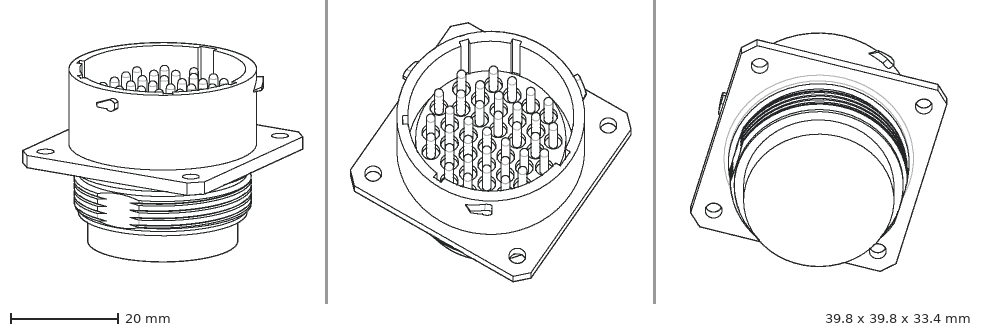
import cadquery as cq
import math

FLANGE_SIDE = 39.75
FLANGE_THICKNESS = 2.4
FLANGE_CORNER = 2.4
MOUNT_HOLE_DIAMETER = 3.1
MOUNT_HOLE_PITCH = 31.75

SHELL_RADIUS = 17.5
SHELL_HEIGHT = 14.5
CAVITY_RADIUS = 15.45
CAVITY_DEPTH = 14.5

KEYWAY_RADIUS = 16.4
MASTER_KEYWAY_WIDTH = 3.4
MINOR_KEYWAY_WIDTH = 1.75
KEYWAYS = [
    (90, MASTER_KEYWAY_WIDTH),
    (-5, MINOR_KEYWAY_WIDTH),
    (195, MINOR_KEYWAY_WIDTH),
    (230, MINOR_KEYWAY_WIDTH),
    (305, MINOR_KEYWAY_WIDTH),
]

TOTAL_LENGTH = 33.38
COLLAR_RADIUS = 16.85
COLLAR_FILLET = 0.8
NECK_RADIUS = 15.75
COLLAR_END = -4.35
THREAD_START = -5.65
THREAD_END = -12.45
NECK_END = -13.27
REAR_END = SHELL_HEIGHT - TOTAL_LENGTH

INCH = 25.4
THREADS_PER_INCH = 18
THREAD_RADIUS = 16.5
THREAD_PITCH = INCH / THREADS_PER_INCH
THREAD_DEPTH = 0.42
THREAD_HALF_ANGLE = 30
THREAD_PHASE_Z = -7.18
THREAD_FLAT_Y = 15.87

INSERT_RADIUS = 14.0
INSERT_FACE = 4.75
WELL_RADIUS = 1.65
WELL_DEPTH = 1.5
PIN_RADIUS = 0.82
PIN_TIP = 11.75
PIN_EMBEDMENT = 1.5

PIN_ROW_PITCH = 4.1
PIN_COLUMNS = [
    (-9.68, -5.5, 3),
    (-5.8, -10.1, 5),
    (-2.3, -8.0, 5),
    (1.6, -8.0, 5),
    (4.9, -10.1, 5),
    (8.2, -8.0, 5),
    (11.53, -1.9, 2),
]
EXTRA_PINS = [(-9.68, 6.6), (-5.8, 10.1), (4.9, 10.1), (-0.3, 11.6), (-0.3, -11.6)]

LUG_DIRECTIONS = (30, 150, 270)
LUG_Z = SHELL_HEIGHT - 2.46
LUG_OUTER_RADIUS = 18.76
LUG_HEAD_RADIUS = 1.08
LUG_HEAD_FLAT = 0.92
LUG_TAIL_LENGTH = 4.0
LUG_TAIL_TIP_LENGTH = 3.04
LUG_TAIL_TOP = -0.42
LUG_TAIL_BOTTOM = -0.72


def make_body():
    """Shell, collar, neck and rear cylinder revolved as one solid, plus the flange."""
    body = (
        cq.Workplane("XZ")
        .moveTo(0, SHELL_HEIGHT)
        .lineTo(SHELL_RADIUS, SHELL_HEIGHT)
        .lineTo(SHELL_RADIUS, -FLANGE_THICKNESS)
        .lineTo(COLLAR_RADIUS + COLLAR_FILLET, -FLANGE_THICKNESS)
        .radiusArc((COLLAR_RADIUS, -FLANGE_THICKNESS - COLLAR_FILLET), -COLLAR_FILLET)
        .lineTo(COLLAR_RADIUS, COLLAR_END)
        .lineTo(NECK_RADIUS, COLLAR_END)
        .lineTo(NECK_RADIUS, NECK_END)
        .lineTo(INSERT_RADIUS, NECK_END)
        .lineTo(INSERT_RADIUS, REAR_END)
        .lineTo(0, REAR_END)
        .close()
        .revolve(360, (0, 0, 0), (0, 1, 0))
    )
    flange = (
        cq.Workplane("XY")
        .rect(FLANGE_SIDE, FLANGE_SIDE)
        .extrude(-FLANGE_THICKNESS)
        .edges("|Z")
        .chamfer(FLANGE_CORNER)
        .faces(">Z")
        .workplane()
        .rect(MOUNT_HOLE_PITCH, MOUNT_HOLE_PITCH, forConstruction=True)
        .vertices()
        .hole(MOUNT_HOLE_DIAMETER)
    )
    return body.union(flange)


def make_thread_band():
    """Rear thread: a right-hand V groove, beveled ends and two flats across Y."""
    overlap = 0.2
    root = THREAD_RADIUS - THREAD_DEPTH
    mouth = THREAD_RADIUS + overlap
    half_width = (THREAD_DEPTH + overlap) * math.tan(math.radians(THREAD_HALF_ANGLE))
    turns = 6
    turns_below_phase = 4.75
    start_z = THREAD_PHASE_Z - turns_below_phase * THREAD_PITCH

    helix = cq.Wire.makeHelix(THREAD_PITCH, turns * THREAD_PITCH, root)
    groove = (
        cq.Workplane("XZ")
        .moveTo(root, 0)
        .lineTo(mouth, half_width)
        .lineTo(mouth, -half_width)
        .close()
        .sweep(cq.Workplane(obj=helix), isFrenet=True)
        .translate((0, 0, start_z))
    )

    blank_start = start_z - THREAD_PITCH
    blank_length = (turns + 2) * THREAD_PITCH
    blank = cq.Workplane("XY", origin=(0, 0, blank_start)).circle(THREAD_RADIUS).extrude(blank_length)

    bevel = THREAD_RADIUS - NECK_RADIUS
    envelope = (
        cq.Workplane("XZ")
        .moveTo(0, THREAD_START)
        .lineTo(NECK_RADIUS, THREAD_START)
        .lineTo(THREAD_RADIUS, THREAD_START - bevel)
        .lineTo(THREAD_RADIUS, THREAD_END + bevel)
        .lineTo(NECK_RADIUS, THREAD_END)
        .lineTo(0, THREAD_END)
        .close()
        .revolve(360, (0, 0, 0), (0, 1, 0))
    )
    band = blank.cut(groove).intersect(envelope)

    slab_depth = THREAD_RADIUS - THREAD_FLAT_Y + overlap
    for side in (-1, 1):
        slab = cq.Workplane("XY").box(2 * THREAD_RADIUS, slab_depth, blank_length)
        slab_y = side * (THREAD_FLAT_Y + slab_depth / 2)
        band = band.cut(slab.translate((0, slab_y, blank_start + blank_length / 2)))
    return band


def make_cavity():
    """Space around the insert inside the shell, with the polarizing keyways."""
    floor = SHELL_HEIGHT - CAVITY_DEPTH
    bore = cq.Workplane("XY").workplane(offset=floor).circle(CAVITY_RADIUS).extrude(CAVITY_DEPTH)
    for direction, width in KEYWAYS:
        keyway = (
            cq.Workplane("XY")
            .workplane(offset=floor)
            .center(KEYWAY_RADIUS / 2, 0)
            .rect(KEYWAY_RADIUS, width)
            .extrude(CAVITY_DEPTH)
            .rotate((0, 0, 0), (0, 0, 1), direction)
        )
        bore = bore.union(keyway)
    insert = cq.Workplane("XY").circle(INSERT_RADIUS).extrude(INSERT_FACE)
    return bore.cut(insert)


def pin_positions():
    """Centers of all contact pins."""
    points = list(EXTRA_PINS)
    for x, lowest_y, count in PIN_COLUMNS:
        for row in range(count):
            points.append((x, lowest_y + row * PIN_ROW_PITCH))
    return points


def add_pins(body):
    """Sink a well around every contact and stand a round-tipped pin in it."""
    points = pin_positions()
    well_floor = INSERT_FACE - WELL_DEPTH
    wells = (
        cq.Workplane("XY")
        .workplane(offset=well_floor)
        .pushPoints(points)
        .circle(WELL_RADIUS)
        .extrude(WELL_DEPTH)
    )
    pin_root = well_floor - PIN_EMBEDMENT
    pin = (
        cq.Workplane("XZ")
        .moveTo(0, pin_root)
        .lineTo(PIN_RADIUS, pin_root)
        .lineTo(PIN_RADIUS, PIN_TIP - PIN_RADIUS)
        .radiusArc((0, PIN_TIP), -PIN_RADIUS)
        .close()
        .revolve(360, (0, 0, 0), (0, 1, 0))
        .val()
    )
    pins = [pin.moved(cq.Location(cq.Vector(x, y, 0))) for x, y in points]
    body = body.cut(wells)
    return body.union(cq.Workplane(obj=cq.Compound.makeCompound(pins)))


def make_lug():
    """Teardrop bayonet lug in the -Y direction with its tail toward -X."""
    tail_distance = math.hypot(LUG_TAIL_LENGTH, LUG_TAIL_TOP)
    tail_angle = math.atan2(LUG_TAIL_TOP, -LUG_TAIL_LENGTH) % (2 * math.pi)
    tangent_angle = tail_angle - math.acos(LUG_HEAD_RADIUS / tail_distance)
    tangent_point = (
        LUG_HEAD_RADIUS * math.cos(tangent_angle),
        LUG_HEAD_RADIUS * math.sin(tangent_angle),
    )
    head_lower_point = (
        -math.sqrt(LUG_HEAD_RADIUS**2 - LUG_TAIL_BOTTOM**2),
        LUG_TAIL_BOTTOM,
    )
    teardrop = (
        cq.Workplane("XZ", origin=(0, 0, LUG_Z))
        .moveTo(-LUG_TAIL_LENGTH, LUG_TAIL_BOTTOM)
        .lineTo(-LUG_TAIL_LENGTH, LUG_TAIL_TOP)
        .lineTo(*tangent_point)
        .threePointArc((LUG_HEAD_RADIUS, 0), head_lower_point)
        .close()
        .extrude(LUG_OUTER_RADIUS)
    )

    inner_y = -(CAVITY_RADIUS + SHELL_RADIUS) / 2
    tail_base_y = -math.sqrt(SHELL_RADIUS**2 - LUG_TAIL_LENGTH**2)
    tail_tip_y = -math.sqrt(LUG_OUTER_RADIUS**2 - LUG_TAIL_TIP_LENGTH**2)
    head_y = -math.sqrt(LUG_OUTER_RADIUS**2 - LUG_HEAD_FLAT**2)
    footprint = (
        cq.Workplane("XY", origin=(0, 0, LUG_Z - LUG_HEAD_RADIUS))
        .moveTo(LUG_HEAD_FLAT, inner_y)
        .lineTo(-LUG_TAIL_LENGTH, inner_y)
        .lineTo(-LUG_TAIL_LENGTH, tail_base_y)
        .lineTo(-LUG_TAIL_TIP_LENGTH, tail_tip_y)
        .threePointArc((0, -LUG_OUTER_RADIUS), (LUG_HEAD_FLAT, head_y))
        .close()
        .extrude(2 * LUG_HEAD_RADIUS)
    )
    return teardrop.intersect(footprint)


def add_lugs(body):
    """Three bayonet lugs evenly spaced around the shell."""
    lug = make_lug()
    lug_direction = 270
    for direction in LUG_DIRECTIONS:
        body = body.union(lug.rotate((0, 0, 0), (0, 0, 1), direction - lug_direction))
    return body


body = make_body().union(make_thread_band())
body = add_lugs(body.cut(make_cavity()))
result = add_pins(body)